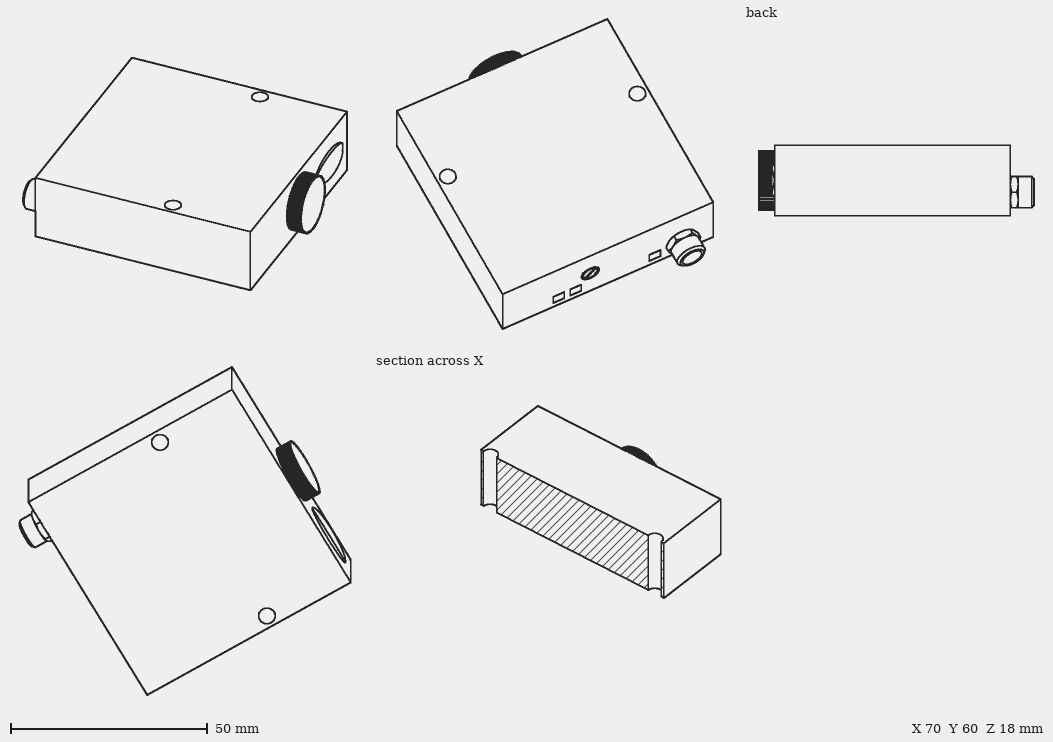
import cadquery as cq
import math

overall_length = 70.0

housing_side = 60.0
housing_height = 18.0
mid_y = housing_side / 2
mid_z = housing_height / 2

mount_hole_diameter = 4.2
mount_hole_x = 37.0
mount_hole_edge_gap = 3.0

connector_length = 6.0
connector_diameter = 8.0
connector_y = 9.0
connector_z = 6.0
connector_tip_chamfer = 0.6
connector_bore_diameter = 5.45
connector_bore_depth = 3.0
nut_across_flats = connector_diameter
nut_thickness = 1.95
nut_corner_bevel_angle = 30

screw_y = 35.0
screw_z = mid_z
screw_hole_diameter = 5.05
screw_head_diameter = 4.2
screw_recess_depth = 0.5
screw_slot_width = 0.4
screw_slot_angle = 45

window_side = 3.15
window_depth = 0.1
window_z = 3.6
window_y_positions = (16.6, 39.1, 43.95)

knob_diameter = 15.2
knob_length = overall_length - connector_length - housing_side
knob_tooth_count = 80
knob_tooth_depth = 0.3

lens_width = 16.8
lens_height = 7.55
lens_rise = 0.8
lens_y = 48.8


def face_plane(x, y, z):
    """Plane at (x, y, z) whose normal is +X, local x along +Y and local y along +Z."""
    return cq.Workplane(cq.Plane(origin=(x, y, z), xDir=(0, 1, 0), normal=(1, 0, 0)))


def make_housing():
    block = cq.Workplane("XY").box(housing_side, housing_side, housing_height, centered=False)
    hole_centers = [
        (mount_hole_x, mount_hole_edge_gap),
        (mount_hole_x, housing_side - mount_hole_edge_gap),
    ]
    holes = (
        cq.Workplane("XY")
        .pushPoints(hole_centers)
        .circle(mount_hole_diameter / 2)
        .extrude(housing_height)
    )
    return block.cut(holes)


def make_nut():
    """Hexagon with corners along Y, both ends bevelled down to the across-flats circle."""
    corner_diameter = nut_across_flats / math.cos(math.pi / 6)
    bevel_radial = (corner_diameter - nut_across_flats) / 2
    bevel_axial = bevel_radial * math.tan(math.radians(nut_corner_bevel_angle))
    nut_base = face_plane(-nut_thickness, connector_y, connector_z)
    hexagon = nut_base.polygon(6, corner_diameter).extrude(nut_thickness)
    bevelled_disc = (
        nut_base.circle(corner_diameter / 2)
        .extrude(nut_thickness)
        .edges()
        .chamfer(bevel_axial, bevel_radial)
    )
    return hexagon.intersect(bevelled_disc)


def make_connector():
    tip = face_plane(-connector_length, connector_y, connector_z)
    barrel = (
        tip.circle(connector_diameter / 2)
        .extrude(connector_length)
        .faces("<X")
        .chamfer(connector_tip_chamfer)
    )
    bore = tip.circle(connector_bore_diameter / 2).extrude(connector_bore_depth)
    return barrel.union(make_nut()).cut(bore)


def make_screw_recess():
    """Ring around the screw head plus the slot across it."""
    face = face_plane(0, screw_y, screw_z)
    ring = (
        face.circle(screw_hole_diameter / 2)
        .circle(screw_head_diameter / 2)
        .extrude(screw_recess_depth)
    )
    slot_length = (screw_hole_diameter + screw_head_diameter) / 2
    slot = (
        face.transformed(rotate=(0, 0, -screw_slot_angle))
        .rect(slot_length, screw_slot_width)
        .extrude(screw_recess_depth)
    )
    return ring.union(slot)


def make_windows():
    return (
        face_plane(0, 0, window_z)
        .pushPoints([(y, 0) for y in window_y_positions])
        .rect(window_side, window_side)
        .extrude(window_depth)
    )


def make_knob():
    """Disc with V-shaped teeth running along its axis."""
    tip_radius = knob_diameter / 2
    root_radius = tip_radius - knob_tooth_depth
    outline = []
    for step in range(2 * knob_tooth_count):
        angle = math.pi * step / knob_tooth_count
        radius = tip_radius if step % 2 == 0 else root_radius
        outline.append((radius * math.cos(angle), radius * math.sin(angle)))
    return face_plane(housing_side, mid_y, mid_z).polyline(outline).close().extrude(knob_length)


def make_lens():
    """Oval boss trimmed by a flat elliptic crown, so it fades to nothing at both Y ends."""
    oval = (
        face_plane(housing_side, lens_y, mid_z)
        .ellipse(lens_width / 2, lens_height / 2)
        .extrude(lens_rise)
    )
    crown = (
        cq.Workplane("XY")
        .center(housing_side, lens_y)
        .ellipse(lens_rise, lens_width / 2)
        .extrude(housing_height)
    )
    return oval.intersect(crown)


result = (
    make_housing()
    .cut(make_screw_recess())
    .cut(make_windows())
    .union(make_connector())
    .union(make_knob())
    .union(make_lens())
)